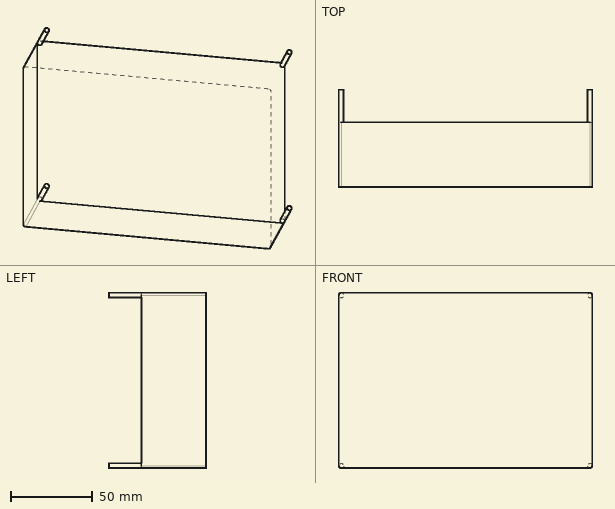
import cadquery as cq

WIDTH = 156.1
HEIGHT = 108.0
BODY_DEPTH = 40.0
PIN_LENGTH = 60.0
PIN_DIAMETER = 3.0

PIN_RADIUS = PIN_DIAMETER / 2
PIN_SPACING_X = WIDTH - PIN_DIAMETER
PIN_SPACING_Z = HEIGHT - PIN_DIAMETER


def make_body():
    """Block with its front face at Y = 0, stepped in at each long edge to the axis of a pin."""
    wide_block = cq.Workplane("XZ").rect(WIDTH, PIN_SPACING_Z).extrude(-BODY_DEPTH)
    tall_block = cq.Workplane("XZ").rect(PIN_SPACING_X, HEIGHT).extrude(-BODY_DEPTH)
    return wide_block.union(tall_block)


def make_pins():
    """Four round pins that round off the block's long edges and project out of its back."""
    return (
        cq.Workplane("XZ")
        .rect(PIN_SPACING_X, PIN_SPACING_Z, forConstruction=True)
        .vertices()
        .circle(PIN_RADIUS)
        .extrude(-PIN_LENGTH)
    )


result = make_body().union(make_pins())